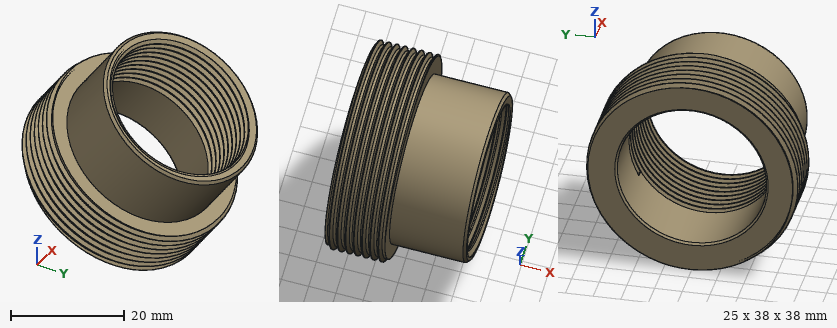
import cadquery as cq
import math

total_length = 25.0
flange_length = 11.05
major_radius = 19.0
sleeve_radius = 15.5
bore_radius = 13.5
bore_chamfer = 0.38
sleeve_chamfer = 0.5

ten_turn_advance = 15.0
pitch = ten_turn_advance / 10
flank_slope = math.tan(math.radians(30))

ridge_height = 0.72
crest_width = 0.15
first_crest_x = 0.23
ridge_overlap = 0.1
root_radius = major_radius - ridge_height

groove_depth = 0.9
groove_overlap = 0.1
groove_floor_width = 0.2
groove_start_x = 10.45
groove_start_angle = -30.0


def turn_to_x(shape):
    """Move local X, Y, Z onto Y, Z, X."""
    return shape.rotate((0, 0, 0), (1, 1, 1), 120)


def helical_bar(wide_radius, narrow_radius, narrow_width, start_x, end_x):
    """Trapezoid swept on a helix about X, starting on the +Y side."""
    half_narrow = narrow_width / 2
    half_wide = half_narrow + (narrow_radius - wide_radius) * flank_slope
    helix = cq.Wire.makeHelix(pitch, end_x - start_x, wide_radius, center=cq.Vector(0, 0, start_x))
    bar = (
        cq.Workplane("XZ")
        .polyline([
            (wide_radius, start_x - half_wide),
            (narrow_radius, start_x - half_narrow),
            (narrow_radius, start_x + half_narrow),
            (wide_radius, start_x + half_wide),
        ])
        .close()
        .sweep(cq.Workplane(obj=helix), isFrenet=True)
    )
    return turn_to_x(bar)


def cylinder(radius, length):
    return cq.Workplane("YZ").circle(radius).extrude(length)


ridge = helical_bar(
    root_radius - ridge_overlap, major_radius, crest_width,
    first_crest_x - pitch, flange_length + pitch,
)
trimmed_ridge = ridge.intersect(cylinder(major_radius + ridge_overlap, flange_length))
flange = cylinder(root_radius, flange_length).union(trimmed_ridge)

sleeve = cylinder(sleeve_radius, total_length).faces(">X").edges().chamfer(sleeve_chamfer)

bore = cylinder(bore_radius, total_length)
bore_mouth = (
    cq.Workplane("YZ")
    .circle(bore_radius + bore_chamfer)
    .workplane(offset=bore_chamfer)
    .circle(bore_radius)
    .loft()
)

result = flange.union(sleeve).cut(bore).cut(bore_mouth)

groove_turn = helical_bar(
    bore_radius - groove_overlap, bore_radius + groove_depth, groove_floor_width,
    groove_start_x, groove_start_x + pitch,
).rotate((0, 0, 0), (1, 0, 0), groove_start_angle)
groove_turns = math.ceil((total_length + pitch / 2 - groove_start_x) / pitch)
for turn in range(groove_turns):
    result = result.cut(groove_turn.translate((turn * pitch, 0, 0)))